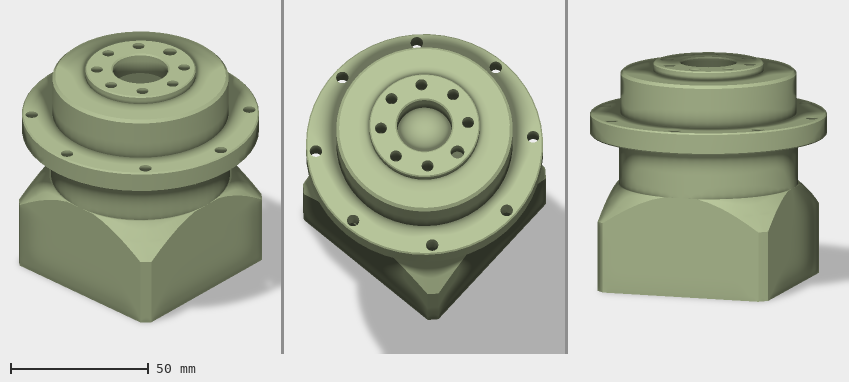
import cadquery as cq
import math

total_height = 81.0
flange_diameter = 86.0
flange_thickness = 8.0
flange_top = 62.5
flange_chamfer = 0.5

boss_diameter = 64.0
boss_chamfer = 1.0
pilot_diameter = 40.0
pilot_height = 3.0
pilot_chamfer = 0.4

neck_diameter = 65.0
base_side = neck_diameter
base_height = 36.5
base_corner_radius = 44.0
base_cone_top_radius = 33.1

bore_diameter = 20.0
bore_depth = 8.0
bore_chamfer = 0.5

flange_hole_circle_radius = 39.5
flange_hole_diameter = 4.5
flange_hole_count = 8

pilot_hole_circle_radius = 15.8
pilot_hole_count = 8
tapped_hole_diameter = 4.3
tapped_hole_depth = 10.0
drill_tip_angle = 118.0
pin_hole_diameter = 5.0
pin_hole_depth = 6.0
pin_hole_angle = 90.0

flange_bottom = flange_top - flange_thickness
boss_top = total_height - pilot_height


def disc(diameter, bottom, top):
    """Upright cylinder on the Z axis between two heights."""
    return cq.Workplane("XY").workplane(offset=bottom).circle(diameter / 2).extrude(top - bottom)


def circle_point(radius, angle):
    """Point on a hole circle at an angle in degrees."""
    return (radius * math.cos(math.radians(angle)), radius * math.sin(math.radians(angle)))


def make_base():
    """Square block whose corners and upper shoulder are turned about Z."""
    cone_drop = base_corner_radius - base_cone_top_radius
    block = cq.Workplane("XY").rect(base_side, base_side).extrude(base_height)
    turned_envelope = (
        cq.Workplane("XZ")
        .moveTo(0, 0)
        .lineTo(base_corner_radius, 0)
        .lineTo(base_corner_radius, base_height - cone_drop)
        .lineTo(base_cone_top_radius, base_height)
        .lineTo(0, base_height)
        .close()
        .revolve(360, (0, 0, 0), (0, 1, 0))
    )
    return block.intersect(turned_envelope)


def make_round_body():
    """Neck, flange, boss and pilot stacked above the base."""
    neck = disc(neck_diameter, base_height, flange_bottom)
    flange = disc(flange_diameter, flange_bottom, flange_top).edges().chamfer(flange_chamfer)
    boss = disc(boss_diameter, flange_top, boss_top).edges(">Z").chamfer(boss_chamfer)
    pilot = disc(pilot_diameter, boss_top, total_height).edges(">Z").chamfer(pilot_chamfer)
    return neck.union(flange).union(boss).union(pilot)


def make_bore():
    """Blind centre bore with a chamfered mouth."""
    radius = bore_diameter / 2
    profile = (
        cq.Workplane("XZ")
        .moveTo(0, total_height - bore_depth)
        .lineTo(radius, total_height - bore_depth)
        .lineTo(radius, total_height - bore_chamfer)
        .lineTo(radius + bore_chamfer, total_height)
        .lineTo(0, total_height)
        .close()
    )
    return profile.revolve(360, (0, 0, 0), (0, 1, 0))


def make_flange_holes():
    """Through holes spaced evenly around the flange."""
    return (
        cq.Workplane("XY")
        .workplane(offset=flange_bottom)
        .polarArray(flange_hole_circle_radius, 0, 360, flange_hole_count)
        .circle(flange_hole_diameter / 2)
        .extrude(flange_thickness)
    )


def make_tapped_hole(angle):
    """Blind hole in the pilot face with a conical drill tip."""
    radius = tapped_hole_diameter / 2
    tip_length = radius / math.tan(math.radians(drill_tip_angle / 2))
    drill = (
        cq.Workplane("XZ")
        .moveTo(0, 0)
        .lineTo(radius, 0)
        .lineTo(radius, -tapped_hole_depth)
        .lineTo(0, -tapped_hole_depth - tip_length)
        .close()
        .revolve(360, (0, 0, 0), (0, 1, 0))
    )
    x, y = circle_point(pilot_hole_circle_radius, angle)
    return drill.translate((x, y, total_height))


def make_pin_hole():
    """Flat-bottomed dowel hole that takes one place on the pilot hole circle."""
    x, y = circle_point(pilot_hole_circle_radius, pin_hole_angle)
    hole = disc(pin_hole_diameter, total_height - pin_hole_depth, total_height)
    return hole.translate((x, y, 0))


result = make_base().union(make_round_body())
result = result.cut(make_bore()).cut(make_flange_holes()).cut(make_pin_hole())
pilot_hole_spacing = 360 / pilot_hole_count
for step in range(1, pilot_hole_count):
    result = result.cut(make_tapped_hole(pin_hole_angle + step * pilot_hole_spacing))